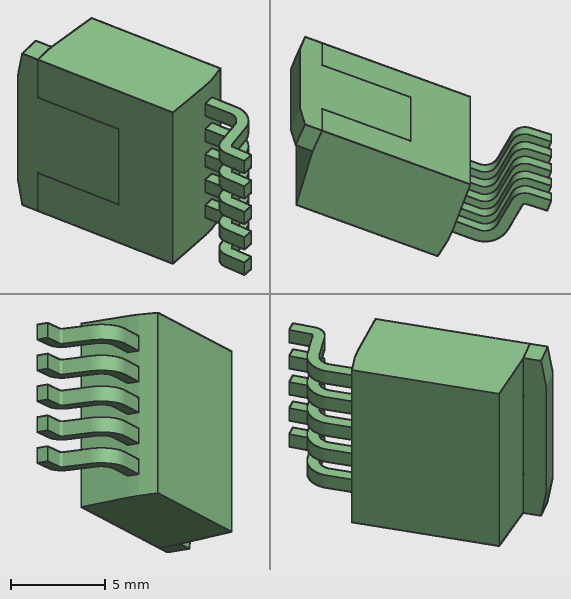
import cadquery as cq
import math


PACKAGE_LENGTH = 14.35
PACKAGE_WIDTH = 10.16
HOUSING_DEPTH = 4.66

PLATE_THICKNESS = 0.01

TAB_BACK_Y = 1.33
TAB_EXPOSED_LENGTH = 1.26
TAB_CORNER_X = 0.29
TAB_CORNER_Z = 1.65
PAD_END_X = 6.33
PAD_WIDTH = 5.07

BACK_START_X = 1.68
BACK_END_X = 9.77
LEAD_FACE_X = 9.92
MOUNTING_END_X = 9.75
SIDE_DRAFT = 0.09

LEAD_COUNT = 5
LEAD_PITCH = 1.71
LEAD_WIDTH = 0.83
LEAD_THICKNESS = 0.65
LEAD_FRONT_Y = 2.93
FIRST_BEND_X = 11.45
FIRST_BEND_RADIUS = 0.76
SECOND_BEND_RADIUS = 0.15
LEG_ANGLE = 84.5
FOOT_ANGLE = 2.5
LEAD_LOW_Y = -0.13

HALF_WIDTH = PACKAGE_WIDTH / 2
LEAD_BACK_Y = LEAD_FRONT_Y + LEAD_THICKNESS
CUT_CORNER = [(0, HALF_WIDTH - TAB_CORNER_Z), (TAB_CORNER_X, HALF_WIDTH)]


def mirrored_outline(upper_half):
    """X-Z outline on the mounting face, made from its upper half and the mirror image of that half."""
    lower_half = [(x, -z) for x, z in reversed(upper_half)]
    return cq.Workplane("XZ").polyline(upper_half + lower_half).close()


def make_plate():
    """Thin plate with the cut corners of the tab at one end and square corners at the other."""
    upper_half = [*CUT_CORNER, (MOUNTING_END_X, HALF_WIDTH)]
    return mirrored_outline(upper_half).extrude(-PLATE_THICKNESS)


def make_tab(plate):
    """Metal tab behind the plate: a wide edge with cut corners, then a narrower pad."""
    pad_half = PAD_WIDTH / 2
    upper_half = [
        *CUT_CORNER,
        (TAB_EXPOSED_LENGTH, HALF_WIDTH),
        (TAB_EXPOSED_LENGTH, pad_half),
        (PAD_END_X, pad_half),
    ]
    return mirrored_outline(upper_half).extrude(-TAB_BACK_Y).cut(plate)


def make_housing(tab, plate):
    """Moulded housing: the X-Y outline trimmed by the drafted Y-Z outline, recessed for the tab."""
    outline = [
        (TAB_EXPOSED_LENGTH, 0),
        (MOUNTING_END_X, 0),
        (LEAD_FACE_X, LEAD_FRONT_Y),
        (LEAD_FACE_X, LEAD_BACK_Y),
        (BACK_END_X, HOUSING_DEPTH),
        (BACK_START_X, HOUSING_DEPTH),
        (TAB_EXPOSED_LENGTH, TAB_BACK_Y),
    ]
    back_half = HALF_WIDTH - SIDE_DRAFT
    drafted = [
        (0, -HALF_WIDTH),
        (HOUSING_DEPTH, -back_half),
        (HOUSING_DEPTH, back_half),
        (0, HALF_WIDTH),
    ]
    block = cq.Workplane("XY").polyline(outline).close().extrude(HALF_WIDTH, both=True)
    sides = cq.Workplane("YZ").polyline(drafted).close().extrude(PACKAGE_LENGTH)
    return block.intersect(sides).cut(tab).cut(plate)


def direction(angle):
    """Unit vector sloping down from the X direction by an angle in degrees."""
    return cq.Vector(math.cos(math.radians(angle)), -math.sin(math.radians(angle)))


def left_of(angle):
    """Unit vector square to direction(angle), on its back side."""
    return direction(angle - 90)


def lead_outline():
    """Closed X-Y outline of one lead, with concentric bends."""
    first_outer = FIRST_BEND_RADIUS + LEAD_THICKNESS
    second_outer = SECOND_BEND_RADIUS + LEAD_THICKNESS
    first_mid = LEG_ANGLE / 2
    second_mid = (LEG_ANGLE + FOOT_ANGLE) / 2

    first_center = cq.Vector(FIRST_BEND_X, LEAD_FRONT_Y - FIRST_BEND_RADIUS)
    tip_edge = left_of(FOOT_ANGLE) * LEAD_THICKNESS
    tip_low = cq.Vector(PACKAGE_LENGTH - tip_edge.x, LEAD_LOW_Y)
    tip_high = tip_low + tip_edge

    leg_normal = left_of(LEG_ANGLE)
    foot_line = tip_low + left_of(FOOT_ANGLE) * second_outer
    leg_line = first_center + leg_normal * (first_outer + SECOND_BEND_RADIUS)
    foot_run = (leg_line - foot_line).dot(leg_normal) / direction(FOOT_ANGLE).dot(leg_normal)
    second_center = foot_line + direction(FOOT_ANGLE) * foot_run

    def first(radius, angle):
        return (first_center + left_of(angle) * radius).toTuple()[:2]

    def second(radius, angle):
        return (second_center - left_of(angle) * radius).toTuple()[:2]

    return (
        cq.Workplane("XY")
        .moveTo(LEAD_FACE_X, LEAD_BACK_Y)
        .lineTo(*first(first_outer, 0))
        .threePointArc(first(first_outer, first_mid), first(first_outer, LEG_ANGLE))
        .lineTo(*second(SECOND_BEND_RADIUS, LEG_ANGLE))
        .threePointArc(second(SECOND_BEND_RADIUS, second_mid), second(SECOND_BEND_RADIUS, FOOT_ANGLE))
        .lineTo(tip_high.x, tip_high.y)
        .lineTo(tip_low.x, tip_low.y)
        .lineTo(*second(second_outer, FOOT_ANGLE))
        .threePointArc(second(second_outer, second_mid), second(second_outer, LEG_ANGLE))
        .lineTo(*first(FIRST_BEND_RADIUS, LEG_ANGLE))
        .threePointArc(first(FIRST_BEND_RADIUS, first_mid), first(FIRST_BEND_RADIUS, 0))
        .lineTo(LEAD_FACE_X, LEAD_FRONT_Y)
        .close()
    )


def make_lead(center_z):
    """One formed lead, centred on a Z position and butting on the housing."""
    return lead_outline().extrude(LEAD_WIDTH / 2, both=True).translate((0, 0, center_z))


plate = make_plate()
tab = make_tab(plate)
housing = make_housing(tab, plate)
leads = []
for index in range(LEAD_COUNT):
    leads.append(make_lead((index - (LEAD_COUNT - 1) / 2) * LEAD_PITCH))

result = cq.Compound.makeCompound([housing.val(), tab.val(), plate.val(), *[lead.val() for lead in leads]])